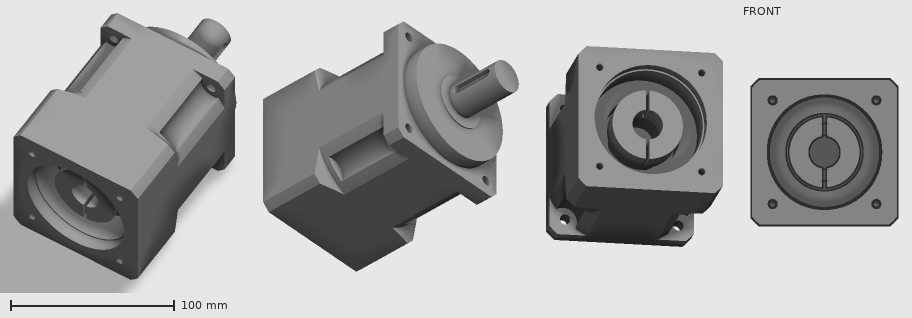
import cadquery as cq
import math

SIDE = 90.0
CORNER_RADIUS = 60.2
CORE_RADIUS = 50.0

ADAPTER_LENGTH = 50.0
CONE_START = 42.4
CONE_END = 46.0
FLANGE_BACK = 99.5
FLANGE_FACE = 111.5
LEAD_START = 117.6
PILOT_END = 121.5
SEAL_END = 122.5
SHAFT_END = 160.5

PILOT_RADIUS = 40.0
PILOT_LEAD_RADIUS = 39.6
SEAL_RADIUS = 17.8
SHAFT_RADIUS = 22.0 / 2
KEYWAY_WIDTH = 6.0
KEYWAY_LENGTH = 30.0
KEYWAY_DEPTH = 3.5
KEYWAY_END_GAP = 4.5
KEYWAY_CENTER = SHAFT_END - KEYWAY_END_GAP - KEYWAY_LENGTH / 2
FLANGE_HOLE_OFFSET = 35.3
FLANGE_HOLE_RADIUS = 3.2
BOLT_GROOVE_OFFSET = 36.8
BOLT_GROOVE_RADIUS = 8.8

PILOT_BORE_RADIUS = 35.0
PILOT_BORE_DEPTH = 8.3
CAVITY_RADIUS = 34.0
CAVITY_DEPTH = 28.9
CLEARANCE_RADIUS = 23.6
MOTOR_HOLE_OFFSET = 31.8
MOTOR_HOLE_RADIUS = 2.1
MOTOR_HOLE_DEPTH = 16.0
MOTOR_HOLE_CHAMFER = 0.5
DRILL_TIP_ANGLE = 118

HUB_START = 10.5
HUB_RADIUS = 22.0
HUB_BORE_RADIUS = 9.5
NECK_RADIUS = 17.7
NECK_BORE_RADIUS = 10.5
SLIT_WIDTH = 2.2


def cylinder(radius, start, end, x=0, z=0):
    """Cylinder along Y from start to end, centred on (x, z)."""
    base = cq.Plane(origin=(x, start, z), xDir=(1, 0, 0), normal=(0, 1, 0))
    return cq.Workplane(base).circle(radius).extrude(end - start)


def cone(start_radius, end_radius, start, end, x=0, z=0):
    """Truncated cone along Y, centred on (x, z)."""
    solid = cq.Solid.makeCone(
        start_radius, end_radius, end - start, cq.Vector(x, start, z), cq.Vector(0, 1, 0)
    )
    return cq.Workplane(obj=solid)


def square_bar(start, end):
    """Square bar along Y."""
    return cq.Workplane().box(SIDE, end - start, SIDE).translate((0, (start + end) / 2, 0))


def corners(offset):
    """Four points at the corners of a square pattern around the axis."""
    return [(sx * offset, sz * offset) for sx in (-1, 1) for sz in (-1, 1)]


def make_adapter():
    """Motor adapter: square block with rounded corners, hollow for the clamp hub."""
    envelope = (
        cylinder(CORNER_RADIUS, 0, CONE_START)
        .union(cone(CORNER_RADIUS, CORE_RADIUS, CONE_START, CONE_END))
        .union(cylinder(CORE_RADIUS, CONE_END, ADAPTER_LENGTH))
    )
    body = square_bar(0, ADAPTER_LENGTH).intersect(envelope)

    body = body.cut(cylinder(PILOT_BORE_RADIUS, 0, PILOT_BORE_DEPTH))
    body = body.cut(cylinder(CAVITY_RADIUS, 0, CAVITY_DEPTH))
    body = body.cut(cylinder(CLEARANCE_RADIUS, 0, ADAPTER_LENGTH))

    tip_length = MOTOR_HOLE_RADIUS / math.tan(math.radians(DRILL_TIP_ANGLE / 2))
    tip_end = MOTOR_HOLE_DEPTH + tip_length
    mouth_radius = MOTOR_HOLE_RADIUS + MOTOR_HOLE_CHAMFER
    for x, z in corners(MOTOR_HOLE_OFFSET):
        body = body.cut(cylinder(MOTOR_HOLE_RADIUS, 0, MOTOR_HOLE_DEPTH, x, z))
        body = body.cut(cone(MOTOR_HOLE_RADIUS, 0, MOTOR_HOLE_DEPTH, tip_end, x, z))
        body = body.cut(cone(mouth_radius, MOTOR_HOLE_RADIUS, 0, MOTOR_HOLE_CHAMFER, x, z))
    return body


def make_housing():
    """Square flange and grooved core of the gear unit, with the output pilot and seal."""
    envelope = cylinder(CORE_RADIUS, ADAPTER_LENGTH, FLANGE_BACK).union(
        cylinder(CORNER_RADIUS, FLANGE_BACK, FLANGE_FACE)
    )
    housing = square_bar(ADAPTER_LENGTH, FLANGE_FACE).intersect(envelope)
    for x, z in corners(BOLT_GROOVE_OFFSET):
        housing = housing.cut(cylinder(BOLT_GROOVE_RADIUS, ADAPTER_LENGTH, FLANGE_BACK, x, z))
    for x, z in corners(FLANGE_HOLE_OFFSET):
        housing = housing.cut(cylinder(FLANGE_HOLE_RADIUS, FLANGE_BACK, FLANGE_FACE, x, z))
    return (
        housing.union(cylinder(PILOT_RADIUS, FLANGE_FACE, LEAD_START))
        .union(cone(PILOT_RADIUS, PILOT_LEAD_RADIUS, LEAD_START, PILOT_END))
        .union(cylinder(SEAL_RADIUS, PILOT_END, SEAL_END))
    )


def make_output_shaft():
    """Plain shaft with a round-ended keyway on its +X side."""
    shaft = cylinder(SHAFT_RADIUS, SEAL_END, SHAFT_END)
    keyway = (
        cq.Workplane("YZ", origin=(SHAFT_RADIUS - KEYWAY_DEPTH, KEYWAY_CENTER, 0))
        .slot2D(KEYWAY_LENGTH, KEYWAY_WIDTH)
        .extrude(SHAFT_RADIUS)
    )
    return shaft.cut(keyway)


def make_clamp_hub():
    """Slit clamp collar on a hollow neck that stands on the gear unit's motor end."""
    collar = cylinder(HUB_RADIUS, HUB_START, CAVITY_DEPTH).cut(
        cylinder(HUB_BORE_RADIUS, HUB_START, CAVITY_DEPTH)
    )
    collar_length = CAVITY_DEPTH - HUB_START
    slit = cq.Workplane().box(SLIT_WIDTH, collar_length, 2 * HUB_RADIUS)
    collar = collar.cut(slit.translate((0, HUB_START + collar_length / 2, 0)))

    neck = cylinder(NECK_RADIUS, CAVITY_DEPTH, ADAPTER_LENGTH).cut(
        cylinder(NECK_BORE_RADIUS, CAVITY_DEPTH, ADAPTER_LENGTH)
    )
    return collar.union(neck)


adapter = make_adapter()
gear_unit = make_housing().union(make_output_shaft()).union(make_clamp_hub())

result = cq.Compound.makeCompound([adapter.val(), gear_unit.val()])